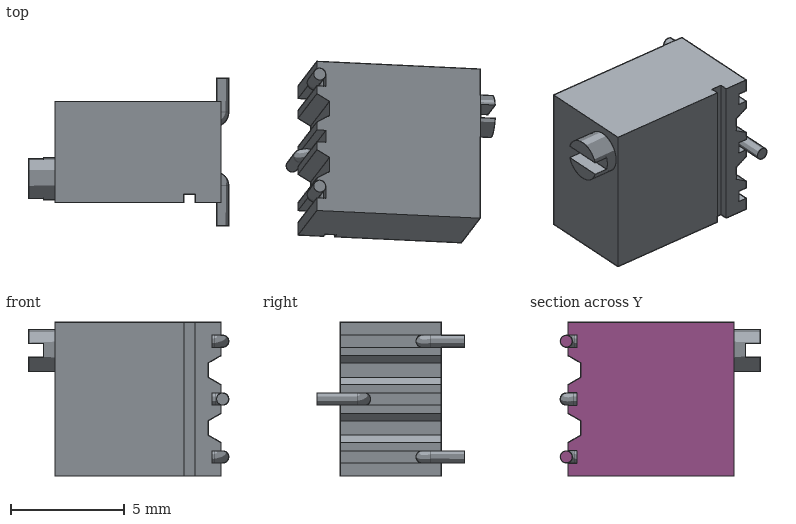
import cadquery as cq
import math

overall_length = 8.78
screw_length = 1.15
pin_overhang = 0.33
body_length = overall_length - screw_length - pin_overhang
body_thickness = 4.44
body_height = 6.76

screw_diameter = 1.85
screw_from_front = 1.05
screw_from_top = 1.25
driver_slot_width = 0.6
driver_slot_depth = 0.65

groove_width = 0.5
groove_depth = 0.37
groove_from_back = 1.14

pin_diameter = 0.535
pin_pitch = 2.54
pin_protrusion = 1.02
rear_bend_radius = 0.37
front_bend_radius = 0.32
rear_bend_start = 0.47
front_bend_start = 0.755
pin_pocket_depth = 0.4
pin_embedment = 0.09

notch_depth = 0.56
notch_floor_width = 0.63
notch_flank_angle = 30.0

half_thickness = body_thickness / 2
notch_heights = [pin_pitch / 2, -pin_pitch / 2]
rear_pin_heights = [pin_pitch, -pin_pitch]
front_pin_height = 0.0


def make_body():
    return cq.Workplane("XY").box(body_length, body_thickness, body_height, centered=(False, True, True))


def make_screw():
    center_y = -half_thickness + screw_from_front
    center_z = body_height / 2 - screw_from_top
    shank = (
        cq.Workplane("YZ", origin=(-screw_length, center_y, center_z))
        .circle(screw_diameter / 2)
        .extrude(screw_length)
    )
    driver_slot = (
        cq.Workplane("XY", origin=(-screw_length, center_y, center_z))
        .box(driver_slot_depth, screw_diameter, driver_slot_width, centered=(False, True, True))
    )
    return shank.cut(driver_slot)


def make_groove():
    groove_center_x = body_length - groove_from_back - groove_width / 2
    return (
        cq.Workplane("XY", origin=(groove_center_x, -half_thickness, 0))
        .box(groove_width, 2 * groove_depth, body_height)
    )


def make_notch(height):
    half_floor = notch_floor_width / 2
    half_mouth = half_floor + notch_depth * math.tan(math.radians(notch_flank_angle))
    floor_x = body_length - notch_depth
    return (
        cq.Workplane("XZ", origin=(0, 0, height))
        .moveTo(body_length, half_mouth)
        .lineTo(floor_x, half_floor)
        .lineTo(floor_x, -half_floor)
        .lineTo(body_length, -half_mouth)
        .close()
        .extrude(half_thickness, both=True)
    )


def make_pin_pocket(height):
    return (
        cq.Workplane("XY", origin=(body_length - pin_pocket_depth / 2, 0, height))
        .box(pin_pocket_depth, body_thickness, pin_diameter)
    )


def make_pin(height, direction, bend_radius, bend_start):
    leg_x = body_length + pin_overhang - pin_diameter / 2
    tip_y = direction * (half_thickness + pin_protrusion)
    bend_start_y = direction * (half_thickness - bend_start)
    bend_end = (leg_x - bend_radius, bend_start_y - direction * bend_radius)
    bend_offset = bend_radius * math.sqrt(0.5)
    bend_middle = (bend_end[0] + bend_offset, bend_start_y - direction * bend_offset)
    path = (
        cq.Workplane("XY", origin=(0, 0, height))
        .moveTo(leg_x, tip_y)
        .lineTo(leg_x, bend_start_y)
        .threePointArc(bend_middle, bend_end)
        .lineTo(body_length - pin_pocket_depth - pin_embedment, bend_end[1])
    )
    return (
        cq.Workplane("XZ", origin=(leg_x, tip_y, height))
        .circle(pin_diameter / 2)
        .sweep(path)
    )


result = make_body().cut(make_groove())
for notch_height in notch_heights:
    result = result.cut(make_notch(notch_height))
for pin_height in rear_pin_heights:
    result = result.cut(make_pin_pocket(pin_height))
    result = result.union(make_pin(pin_height, 1, rear_bend_radius, rear_bend_start))
result = result.cut(make_pin_pocket(front_pin_height))
result = result.union(make_pin(front_pin_height, -1, front_bend_radius, front_bend_start))
result = result.union(make_screw())